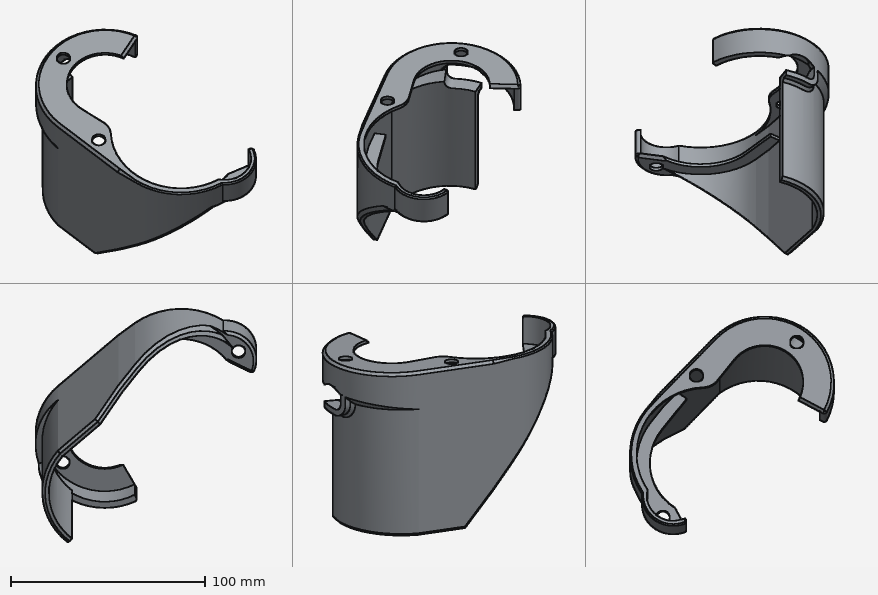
import cadquery as cq
import math

height = 90.0
wall = 3.5
lobe_wall = 2.6
sheet = 1.8

left_radius = 35.7
left_end_angle = 98.5
right_radius = 39.6
right_x = 49.2
lobe_radius = 16.2
lobe_x = 77.5
lobe_end_angle = 64.7
corner_x = 38.5
band_depth = 15.9
floor_depth = 16.8

setback = 4.5
foot_end_angle = 13.2
slope_bottom_x = 23.0
slope_top_x = 85.2

plate_opening_radius = 19.8
plate_corner_radius = 9.7
floor_opening_radius = 29.3

slot_bottom = -25.0
slot_side_y = -8.7
slot_corner_radius = 4.3
rim_width = 3.2

hole_diameter = 7.0
hole_centers = [(-27.0, 0), (18.8, -30.0), (86.2, 0)]
relief_roof = -13.1

edge_chamfer = 1.5
right_chamfer = 0.8
end_rounding = 1.5
root_chamfer = 1.5

reach = 258.9
tolerance = 0.01


def polar(center_x, radius, degrees):
    angle = math.radians(degrees)
    return (center_x + radius * math.cos(angle), radius * math.sin(angle))


def front_wall_tangent(inset):
    """Angle from +X at which the sloping front wall leaves the left arc."""
    corner_y = right_radius - inset
    to_corner = math.atan2(-corner_y, corner_x)
    swing = math.acos((left_radius - inset) / math.hypot(corner_x, corner_y))
    return math.degrees(to_corner - swing)


def main_outline(inset):
    """Plan of both large ends and the front wall, closed along the line of centers."""
    r_left = left_radius - inset
    r_right = right_radius - inset
    return (
        cq.Workplane("XY")
        .moveTo(0, 0)
        .lineTo(*polar(0, r_left, left_end_angle))
        .threePointArc((-r_left, 0), polar(0, r_left, front_wall_tangent(inset)))
        .lineTo(corner_x, -r_right)
        .lineTo(right_x, -r_right)
        .threePointArc(polar(right_x, r_right, -45), (right_x + r_right, 0))
        .close()
    )


def lobe(inset, depth):
    """Sector of the lobe from its end face round into the right end."""
    radius = lobe_radius - inset
    return (
        cq.Workplane("XY")
        .moveTo(lobe_x, 0)
        .lineTo(*polar(lobe_x, radius, lobe_end_angle))
        .threePointArc((lobe_x + radius, 0), (lobe_x, -radius))
        .close()
        .extrude(-depth)
    )


def box(x_range, y_range, z_range):
    lows, highs = zip(x_range, y_range, z_range)
    sizes = [high - low for low, high in zip(lows, highs)]
    return cq.Workplane("XY").box(*sizes, centered=False).translate(lows)


def cylinder(center, radius, z_low, z_high):
    return cq.Workplane("XY", origin=(*center, z_low)).circle(radius).extrude(z_high - z_low)


tangent_x, tangent_y = polar(0, left_radius, front_wall_tangent(0))
foot_left_x = setback - left_radius
foot_radius = ((tangent_x - foot_left_x) ** 2 + tangent_y**2) / (2 * (tangent_x - foot_left_x))
foot_x = foot_left_x + foot_radius
foot_end_ray = 180 - foot_end_angle


def envelope(inset):
    """Prism of both ends with the lower left end set back below a 45 degree ledge."""
    prism = main_outline(inset).extrude(-height)
    radius = foot_radius - inset
    ledge_bottom = -band_depth - setback
    band = box((-reach, reach), (-reach, reach), (-band_depth, 0))
    right = box((tangent_x, reach), (-reach, reach), (-height, 0))
    ledge = cq.Workplane(
        cq.Solid.makeCone(radius, radius + setback, setback, pnt=cq.Vector(foot_x, 0, ledge_bottom))
    )
    foot = cylinder((foot_x, 0), radius, -height, ledge_bottom)
    return prism.intersect(band.union(right).union(ledge).union(foot))


def chamfered_above(point, direction):
    """The main prism above a plane, with a chamfer round the edge that lies in the plane."""
    up = cq.Vector(*direction).normalized()

    def plane_at(rise):
        return cq.Plane(origin=cq.Vector(*point) + up * rise, normal=up)

    def section(inset, rise):
        prism = main_outline(inset).extrude(-2 * height)
        cutting_face = cq.Face.makePlane(2 * reach, 2 * reach, plane_at(rise).origin, up)
        return prism.val().intersect(cutting_face).Faces()[0].outerWire()

    rim = cq.Solid.makeLoft([section(edge_chamfer, 0), section(0, edge_chamfer)], True)
    above = cq.Workplane(plane_at(edge_chamfer)).rect(2 * reach, 2 * reach).extrude(reach)
    return main_outline(0).extrude(-2 * height).intersect(above).union(cq.Workplane(rim))


def foot_trim():
    """45 degree cone that chamfers the bottom edge of the set-back arc."""
    radius = foot_radius - edge_chamfer
    cone = cq.Solid.makeCone(radius, radius + height, height, pnt=cq.Vector(foot_x, 0, -height))
    return cq.Workplane(cone).union(box((tangent_x, reach), (-reach, reach), (-height, 0)))


def lower_trim():
    """The main prism cut off by the bottom, by the sloping edge and by the floor plane."""
    slope_normal = (floor_depth - height, 0, slope_top_x - slope_bottom_x)
    flat = chamfered_above((0, 0, -height), (0, 0, 1))
    sloped = chamfered_above((slope_top_x, 0, -floor_depth), slope_normal)
    floor_level = main_outline(0).extrude(-floor_depth)
    return flat.intersect(sloped).union(floor_level).intersect(foot_trim())


def beyond_foot_end():
    """Space below the band past the free end of the lower wall."""
    return (
        cq.Workplane("XY", origin=(0, 0, -height))
        .polyline([(foot_x, 0), polar(foot_x, reach, foot_end_ray), (foot_x, reach)])
        .close()
        .extrude(height - band_depth)
    )


def slot_block(side_y, bottom_z, corner_radius):
    """Block below the band, open towards +Y, with one rounded lower corner."""
    block = box((-reach, -left_radius / 2), (side_y, reach), (bottom_z, -band_depth))
    return block.edges("|X and <Y and <Z").fillet(corner_radius)


def edges_where(body, test):
    return body.newObject([edge for edge in body.edges().vals() if test(edge.Center())])


def add_slot_rim(body):
    """Rim round the slot, flush with the band, chamfered where it meets the lower wall."""
    bottom = slot_bottom - rim_width
    block = slot_block(slot_side_y - rim_width, bottom, slot_corner_radius + rim_width)
    rim = main_outline(0).extrude(-height).intersect(block)
    body = body.union(rim).cut(beyond_foot_end())
    foot_end_y = polar(foot_x, foot_radius, foot_end_ray)[1]
    margin = 0.1
    arc_sag = 0.3

    def on_root(point):
        off_wall = math.hypot(point.x - foot_x, point.y) - foot_radius
        at_rim = bottom - margin < point.z < -band_depth - setback
        at_left = point.x < foot_left_x + setback and point.y < foot_end_y - margin
        return at_left and at_rim and abs(off_wall) < arc_sag

    return edges_where(body, on_root).chamfer(root_chamfer)


def round_end(body, center_x, radius, end_angle):
    corner = (*polar(center_x, radius, end_angle), -band_depth / 2)
    return body.edges(cq.NearestToPointSelector(corner)).fillet(end_rounding)


def chamfer_top(body, size):
    """Chamfer the top edges except those along Y, where the halves meet, and on the line of centers."""

    def is_outer(edge):
        along_y = abs(edge.startPoint().x - edge.endPoint().x) < tolerance
        return not along_y and abs(edge.Center().y) > tolerance

    outer = [edge for edge in body.faces(">Z").edges().vals() if is_outer(edge)]
    return body.newObject(outer).chamfer(size)


def blend_top_chamfers():
    """Wedge along the straight front wall where the large top chamfer fades into the small one."""

    def corner(x, size):
        points = [(x, -right_radius, 0), (x, size - right_radius, 0), (x, -right_radius, -size)]
        return cq.Wire.makePolygon([cq.Vector(*point) for point in points], close=True)

    ends = [corner(corner_x, edge_chamfer), corner(right_x, right_chamfer)]
    return cq.Workplane(cq.Solid.makeLoft(ends, True))


def chamfered_lobe():
    body = round_end(lobe(0, floor_depth), lobe_x, lobe_radius, lobe_end_angle)
    body = body.faces("<Z").edges("%CIRCLE").chamfer(edge_chamfer)
    return body.faces(">Z").edges("%CIRCLE").chamfer(right_chamfer)


def outer_body():
    body = add_slot_rim(envelope(0).intersect(lower_trim()))
    body = round_end(body, 0, left_radius, left_end_angle)
    left_space = box((-reach, corner_x), (-reach, reach), (-height, 0))
    left_half = chamfer_top(body.intersect(left_space), edge_chamfer)
    right_half = chamfer_top(body.cut(left_space), right_chamfer)
    return left_half.union(right_half).cut(blend_top_chamfers()).union(chamfered_lobe())


def plate_opening():
    """Clear space inside the left plate, blended into the round recess on the right."""
    z_range = (-2 * sheet, sheet)
    recess_radius = right_radius - wall
    strip = box((0, right_x), (-plate_opening_radius, right_radius), z_range)
    right_space = box((right_x, reach), (-reach, reach), z_range)
    recess = cylinder((right_x, 0), recess_radius, *z_range).cut(right_space)
    opening = cylinder((0, 0), plate_opening_radius, *z_range).union(strip).union(recess)
    corner_x_offset = math.sqrt(recess_radius**2 - plate_opening_radius**2)
    corner = (right_x - corner_x_offset, -plate_opening_radius, 0)
    return opening.edges(cq.NearestToPointSelector(corner)).fillet(plate_corner_radius)


def floor_slab():
    """Thin floor under the recess and the lobe."""
    z_range = (-floor_depth, sheet - floor_depth)
    recess_radius = right_radius - wall
    floor_start_x = right_x - math.sqrt(recess_radius**2 - floor_opening_radius**2)
    slab = box((floor_start_x, reach), (-reach, reach), z_range)
    opening = cylinder((right_x, 0), floor_opening_radius, *z_range)
    return slab.cut(opening).cut(box((-reach, right_x), (-floor_opening_radius, reach), z_range))


def hollow(body):
    """Open the inside, leaving the left plate at the top and the floor at the right."""
    plate_space = box((-reach, right_x), (-reach, reach), (-sheet, 0))
    body = body.cut(envelope(wall).cut(plate_space).cut(floor_slab()))
    body = body.cut(plate_opening())
    body = body.cut(lobe(lobe_wall, floor_depth - sheet))
    return body.cut(cylinder((right_x, 0), floor_opening_radius, -floor_depth, 0))


def screw_holes():
    return cq.Workplane("XY").pushPoints(hole_centers).circle(hole_diameter / 2).extrude(-floor_depth)


def screw_relief():
    """45 degree cone below the left screw hole that notches the lower rim of the band."""
    hole_x, hole_y = hole_centers[0]
    roof_radius = left_radius + hole_x
    drop = band_depth + relief_roof
    cone = cq.Solid.makeCone(roof_radius + drop, roof_radius, drop, pnt=cq.Vector(hole_x, hole_y, -band_depth))
    return cq.Workplane(cone)


result = (
    hollow(outer_body())
    .cut(slot_block(slot_side_y, slot_bottom, slot_corner_radius))
    .cut(screw_relief())
    .cut(screw_holes())
)